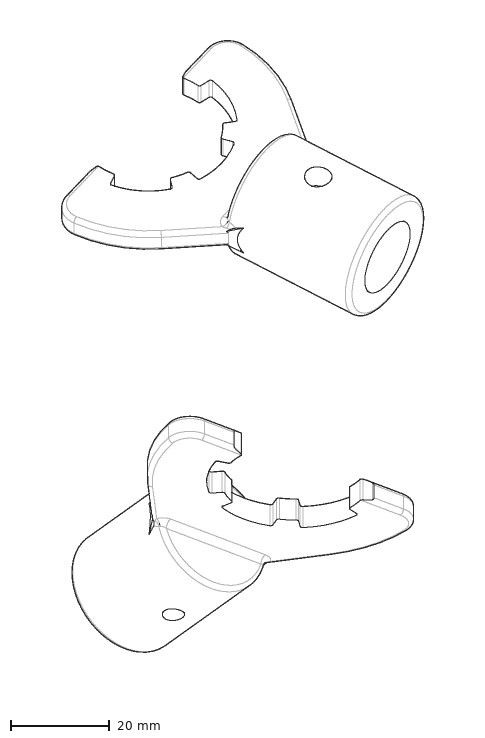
import cadquery as cq
import math

plate_thickness = 5.0
fork_center_x = 2.9
fork_radius = 30.0
fork_tip_radius = 5.0
plate_edge_fillet = 1.0
flank_angle = 50

root_radius = 18
tooth_radius = 15.0
tooth_tip_width = 4.3
tooth_flare_angle = 15
tooth_angles = (-90, -30, 30, 90)
tooth_corner_fillet = 0.5

total_length = 62
hub_diameter = 27.0
hub_length = 30.95
hub_edge_fillet = 1.0
junction_fillet = 1.5

flare_start_x = 32.3
flare_start_width = 28.75
flare_start_height = 3.95
flare_end_x = 35.5
flare_end_width = 25.9
flare_end_height = 7.45

socket_diameter = 16.0
socket_depth = 25.0
pin_hole_x = 44.9
upper_pin_diameter = 5.5
lower_pin_diameter = 4.5

hub_start = total_length - hub_length
hub_radius = hub_diameter / 2
selection_margin = 0.05


def fork_point(radius, angle):
    """Point at a polar position around the fork centre."""
    turn = math.radians(angle)
    return (fork_center_x + radius * math.cos(turn), radius * math.sin(turn))


def mirrored(point):
    return (point[0], -point[1])


def fork_blank():
    """Plate with round tips and sides that run straight into the hub."""
    tip_offset_x = fork_tip_radius - fork_center_x
    tip_center_radius = fork_radius - fork_tip_radius
    tip_center_y = math.sqrt(tip_center_radius**2 - tip_offset_x**2)
    tip_angle = math.degrees(math.atan2(tip_center_y, tip_offset_x))
    tip_start = (0, tip_center_y)
    tip_middle_turn = math.radians((180 + tip_angle) / 2)
    tip_middle = (
        fork_tip_radius + fork_tip_radius * math.cos(tip_middle_turn),
        tip_center_y + fork_tip_radius * math.sin(tip_middle_turn),
    )
    tip_end = fork_point(fork_radius, tip_angle)
    side_middle = fork_point(fork_radius, (tip_angle + flank_angle) / 2)
    side_end = fork_point(fork_radius, flank_angle)

    flank_end_y = hub_radius - plate_thickness / 2
    flank_end_x = side_end[0] + (side_end[1] - flank_end_y) * math.tan(math.radians(flank_angle))
    flank_end = (flank_end_x, flank_end_y)

    outline = (
        cq.Workplane("XY", origin=(0, 0, -plate_thickness / 2))
        .moveTo(*tip_start)
        .threePointArc(tip_middle, tip_end)
        .threePointArc(side_middle, side_end)
        .lineTo(*flank_end)
        .lineTo(*mirrored(flank_end))
        .lineTo(*mirrored(side_end))
        .threePointArc(mirrored(side_middle), mirrored(tip_end))
        .threePointArc(mirrored(tip_middle), mirrored(tip_start))
        .close()
    )
    plate = outline.extrude(plate_thickness)
    return plate.faces("|Z").edges("not(>X)").fillet(plate_edge_fillet)


def tooth_block(angle):
    """Flared wedge that is kept out of the fork opening to leave one tooth."""
    tip_half_width = tooth_tip_width / 2
    tip_corner_x = math.sqrt(tooth_radius**2 - tip_half_width**2)
    base_x = root_radius + plate_thickness
    base_half_width = tip_half_width + (base_x - tip_corner_x) * math.tan(math.radians(tooth_flare_angle))
    return (
        cq.Workplane("XY", origin=(0, 0, -plate_thickness))
        .moveTo(tip_corner_x, -tip_half_width)
        .threePointArc((tooth_radius, 0), (tip_corner_x, tip_half_width))
        .lineTo(base_x, base_half_width)
        .lineTo(base_x, -base_half_width)
        .close()
        .extrude(2 * plate_thickness)
        .rotate((0, 0, 0), (0, 0, 1), angle)
        .translate((fork_center_x, 0, 0))
    )


def fork_opening():
    """Round opening of the fork with the teeth left standing."""
    opening = (
        cq.Workplane("XY", origin=(fork_center_x, 0, -plate_thickness))
        .circle(root_radius)
        .extrude(2 * plate_thickness)
    )
    for angle in tooth_angles:
        opening = opening.cut(tooth_block(angle))
    return opening.edges("|Z").fillet(tooth_corner_fillet)


def joined_body():
    """Plate and hub, blended all round where the plate enters the hub."""
    hub = cq.Workplane("YZ", origin=(hub_start, 0, 0)).circle(hub_radius).extrude(hub_length)
    hub = hub.faces("|X").edges().fillet(hub_edge_fillet)
    body = fork_blank().union(hub)
    seam_limit = plate_thickness / 2 + selection_margin
    seam = cq.selectors.BoxSelector(
        (hub_start - selection_margin, -fork_radius, -seam_limit),
        (hub_start + hub_length / 4, fork_radius, seam_limit),
        boundingbox=True,
    )
    return body.edges(seam).fillet(junction_fillet)


def socket():
    return (
        cq.Workplane("YZ", origin=(total_length - socket_depth, 0, 0))
        .circle(socket_diameter / 2)
        .extrude(socket_depth)
    )


def pin_hole(diameter, length):
    """Vertical hole from the hub axis outwards; a negative length points down."""
    return cq.Workplane("XY", origin=(pin_hole_x, 0, 0)).circle(diameter / 2).extrude(length)


def flank_flare():
    """Block mostly buried in the hub whose sides blend the plate's flanks into it."""
    return (
        cq.Workplane("YZ", origin=(flare_start_x, 0, 0))
        .rect(flare_start_width, flare_start_height)
        .workplane(offset=flare_end_x - flare_start_x)
        .rect(flare_end_width, flare_end_height)
        .loft(ruled=True)
    )


body = joined_body().union(flank_flare())
body = body.cut(fork_opening()).cut(socket())
body = body.cut(pin_hole(upper_pin_diameter, hub_radius))
result = body.cut(pin_hole(lower_pin_diameter, -hub_radius))